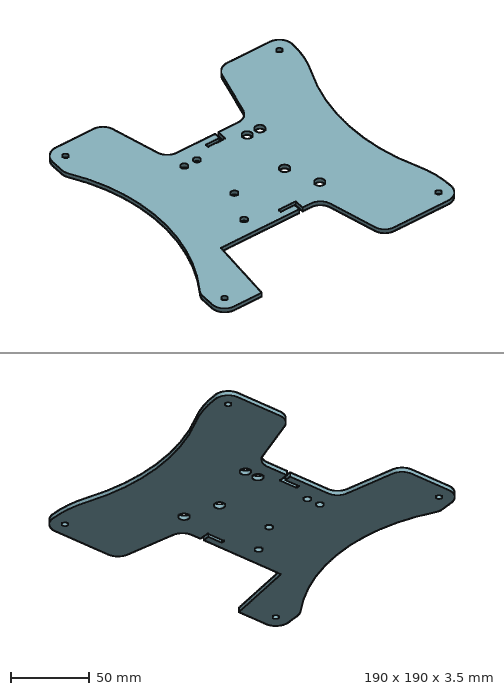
import cadquery as cq
import math

side = 190.0
thickness = 3.5
half = side / 2
corner_radius = 10.0

waist_half = 45.0
arm_slope = math.tan(math.radians(15))
arm_rise = (half - waist_half) * arm_slope
left_arm_top_root = 30.0
left_arm_bottom_root = -34.0
right_arm_top_root = 21.0
right_arm_bottom_root = -58.1
right_arm_bottom_tip = -62.9

top_middle = 77.1
top_radius = 140.0
shoulder_x = half - corner_radius

bottom_middle = -73.0
bottom_radius = 130.0
bottom_sag = bottom_middle + half
bottom_end_x = math.sqrt(bottom_radius**2 - (bottom_radius - bottom_sag) ** 2)

mount_diameter = 4.2
mount_offset = half - corner_radius
small_diameter = 5.1
large_diameter = 7.2
hole_outer_x = 32.0
hole_inner_x = 8.0
hole_far_y = 30.0
hole_near_y = 20.0

slot_width = 2.5
slot_depth = 7.5
slot_top = 6.6
slot_bottom = -6.8


def plate_outline():
    """Closed outline, anticlockwise from the left bottom flat, with only the top corners rounded."""
    top_sag = half - top_middle
    radius_sum = (shoulder_x**2 + top_sag**2) / (2 * top_sag)
    shoulder_radius = radius_sum - top_radius
    join_x = shoulder_x * top_radius / radius_sum
    join_y = top_middle + top_radius - math.sqrt(top_radius**2 - join_x**2)

    return (
        cq.Workplane("XY")
        .moveTo(-half, -half)
        .lineTo(-bottom_end_x, -half)
        .threePointArc((0, bottom_middle), (bottom_end_x, -half))
        .lineTo(half, -half)
        .lineTo(half, right_arm_bottom_tip)
        .lineTo(waist_half, right_arm_bottom_root)
        .lineTo(waist_half, right_arm_top_root)
        .lineTo(half, right_arm_top_root + arm_rise)
        .lineTo(half, shoulder_x)
        .radiusArc((shoulder_x, half), -corner_radius)
        .radiusArc((join_x, join_y), -shoulder_radius)
        .threePointArc((0, top_middle), (-join_x, join_y))
        .radiusArc((-shoulder_x, half), -shoulder_radius)
        .radiusArc((-half, shoulder_x), -corner_radius)
        .lineTo(-half, left_arm_top_root + arm_rise)
        .lineTo(-waist_half, left_arm_top_root)
        .lineTo(-waist_half, left_arm_bottom_root)
        .lineTo(-half, left_arm_bottom_root - arm_rise)
        .close()
    )


def upright_edge(x, y):
    """Selector for the vertical edge nearest to (x, y)."""
    return cq.selectors.NearestToPointSelector((x, y, thickness / 2))


def round_corners(plate):
    corners = [
        (-half, left_arm_top_root + arm_rise),
        (-waist_half, left_arm_top_root),
        (-waist_half, left_arm_bottom_root),
        (-half, left_arm_bottom_root - arm_rise),
        (-half, -half),
        (-bottom_end_x, -half),
        (bottom_end_x, -half),
        (half, -half),
        (waist_half, right_arm_top_root),
        (half, right_arm_top_root + arm_rise),
    ]
    for x, y in corners:
        plate = plate.edges("|Z").edges(upright_edge(x, y)).fillet(corner_radius)
    return plate


def holes(diameter, centres):
    return cq.Workplane("XY").pushPoints(centres).circle(diameter / 2).extrude(thickness)


def side_slot(side_sign):
    """L-shaped slot: in from the waist edge, then down; side_sign is -1 left, 1 right."""
    outer_x = side_sign * waist_half
    deep_x = side_sign * (waist_half - slot_depth)
    shallow_x = deep_x + side_sign * slot_width
    return (
        cq.Workplane("XY")
        .polyline([
            (outer_x, slot_top),
            (deep_x, slot_top),
            (deep_x, slot_bottom),
            (shallow_x, slot_bottom),
            (shallow_x, slot_top - slot_width),
            (outer_x, slot_top - slot_width),
        ])
        .close()
        .extrude(thickness)
    )


def hole_group(y_sign):
    """Four hole centres on one half of the plate; y_sign is 1 for the upper half, -1 for the lower."""
    return [
        (-hole_outer_x, y_sign * hole_far_y),
        (hole_outer_x, y_sign * hole_far_y),
        (-hole_outer_x, y_sign * hole_near_y),
        (hole_inner_x, y_sign * hole_near_y),
    ]


mount_centres = [(x, y) for x in (-mount_offset, mount_offset) for y in (-mount_offset, mount_offset)]

result = round_corners(plate_outline().extrude(thickness))
result = result.cut(holes(mount_diameter, mount_centres))
result = result.cut(holes(large_diameter, hole_group(1)))
result = result.cut(holes(small_diameter, hole_group(-1)))
for side_sign in (-1, 1):
    result = result.cut(side_slot(side_sign))